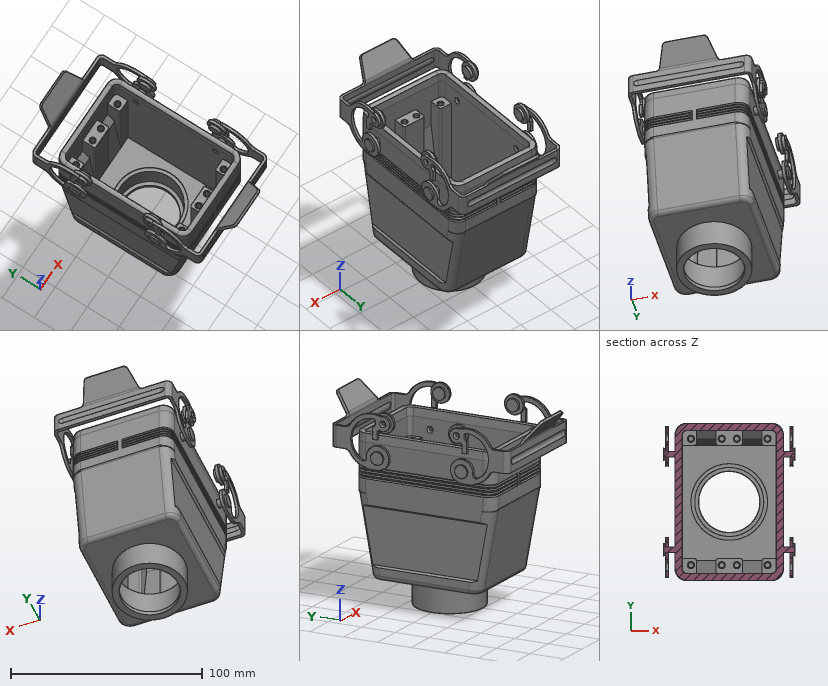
import cadquery as cq
import math

half_x = 28.4
half_y = 41.1
corner_r = 6.3
wall = 3.8
base_z = 15.8
shoulder_z = 63.2
shoulder_step = 0.4
shoulder_height = 0.7
taper_half_y = 32.2
base_fillet_r = 2.7
rim_z = 90.5
rim_edge_z = 95.3
rim_top_z = 95.7
rim_draft = 0.4

groove_count = 4
groove_top_z = 77.2
groove_width = 1.2
groove_pitch = 1.8
groove_depth = 0.7
groove_bridge = 2.5

panel_low_z = 22.8
panel_high_z = 56.2
panel_depth = 1.2
panel_bevel = 1.0

floor_z = 19.6
ledge_low_z = 58.3
ledge_y = 32.9
floor_back_y = 29.5
floor_front_y = 30.6

boss_top_z = 79.6
boss_face_y = 29.6
boss_fillet_r = 1.0
corner_boss_x = 17.2
middle_boss_x = 6.9
screw_x = (3.9, 20.0)
screw_y = 33.0
screw_r = 1.4
screw_mouth_r = 1.8
screw_depth = 9.8

spigot_r = 19.6
spigot_bore_r = 18.0
spigot_lip_r = 16.0
spigot_lip_height = 2.5
floor_recess_r = 20.0
floor_recess_depth = 0.6

sheet = 1.6
lever_half_x = 33.3
bar_y = 52.5
bar_low_z = 86.8
bar_high_z = 98.8
bend_r = 3.1
arm_root_y = 46.7
ring_y = 28.2
ring_r = 15.2
ring_hole_r = 12.6
neck_fillet_r = 3.7
notch_fillet_r = 2.0

pivot_y = 24.9
pivot_z = 84.4
pivot_eye_r = 6.6
pin_r = 2.3
pin_head_r = 3.7
pin_head_height = 1.0

hook_y = 21.9
hook_z = 103.4
hook_r = 4.0
stem_inner_y = 25.3
stem_outer_y = 27.9
stem_low_z = 94.3
stem_shoulder_z = 100.9
stem_neck_y = 26.3
stem_top_z = 104.4
hook_root_drop = 0.5
hook_fillet_r = 0.7
roller_r = 5.5
roller_width = 1.7
roller_hub_r = 3.5
roller_hub_width = 1.6
dimple_r = 1.8
dimple_tip_r = 0.9
dimple_depth = 1.0

tab_tip_y = 61.4
tab_tip_z = 111.1
tab_angle = 50.0
tab_base_half_x = 16.2
tab_tip_half_x = 11.4
tab_fillet_r = 2.5
tab_bend_r = 1.8

bead_half_x = 29.7
bead_half_width = 2.0
bead_depth = 0.9
bead_rise = 0.5

inner_x = half_x - wall
inner_y = half_y - wall
inner_corner_r = corner_r - wall
ring_z = (bar_low_z + bar_high_z) / 2


def rounded_prism(hx, hy, radius, z_low, z_high):
    """Upright prism with a rounded rectangular outline centred on the Z axis."""
    block = cq.Workplane("XY").box(2 * hx, 2 * hy, z_high - z_low, centered=(True, True, False))
    return block.edges("|Z").fillet(radius).translate((0, 0, z_low))


def swept_around(profile):
    """Sweep a closed outline, drawn in Y and Z at the -Y wall, around the housing."""
    block = rounded_prism(half_x, half_y, corner_r, base_z, rim_z)
    return profile.sweep(block.faces("<Z").wires().toPending())


def cylinder_x(radius, x_low, x_high, y, z):
    """Cylinder lying along X."""
    return cq.Workplane("YZ", origin=(x_low, y, z)).circle(radius).extrude(x_high - x_low)


def dimple(x, y, z, direction):
    """Conical dimple sunk along +X or -X from a face at x."""
    cone = cq.Solid.makeCone(
        dimple_r, dimple_tip_r, dimple_depth, pnt=cq.Vector(x, y, z), dir=cq.Vector(direction, 0, 0)
    )
    return cq.Workplane(cone)


def shoulder():
    """Short bevel that draws the end walls in where the taper begins."""
    step_y = half_y - shoulder_step
    outline = [
        (-step_y, shoulder_z - shoulder_height),
        (step_y, shoulder_z - shoulder_height),
        (half_y, shoulder_z),
        (-half_y, shoulder_z),
    ]
    bevel = cq.Workplane("YZ").polyline(outline).close().extrude(half_x, both=True)
    return bevel.intersect(rounded_prism(half_x, half_y, corner_r, base_z, shoulder_z))


def tapered_block():
    """Lower part of the housing with sloping end walls and rounded corners."""
    step_y = half_y - shoulder_step
    top_z = shoulder_z - shoulder_height
    outline = [(-taper_half_y, base_z), (taper_half_y, base_z), (step_y, top_z), (-step_y, top_z)]
    block = cq.Workplane("YZ").polyline(outline).close().extrude(half_x, both=True)
    middle_z = (base_z + top_z) / 2
    corners = cq.selectors.BoxSelector(
        (-half_x - 1.2, -half_y, middle_z - 1.2), (half_x + 1.2, half_y, middle_z + 1.2)
    )
    block = block.edges(corners).fillet(corner_r)
    return block.faces("<Z").edges().fillet(base_fillet_r)


def outer_shell():
    """Straight upper block, shoulder, tapered lower block and spigot."""
    upper = rounded_prism(half_x, half_y, corner_r, shoulder_z, rim_z)
    spigot = cq.Workplane("XY").circle(spigot_r).extrude(floor_z)
    return upper.union(shoulder()).union(tapered_block()).union(spigot)


def rim():
    """Drafted rim with a gently domed top around the mouth."""
    profile = (
        cq.Workplane("YZ")
        .moveTo(-half_y, rim_z)
        .lineTo(-half_y + rim_draft, rim_edge_z)
        .threePointArc((-half_y + wall / 2, rim_top_z), (-inner_y - rim_draft, rim_edge_z))
        .lineTo(-inner_y, rim_z)
        .close()
    )
    return swept_around(profile)


def grip_grooves():
    """V grooves around the grip, interrupted by a web on both end faces."""
    web = cq.Workplane("XY").box(groove_bridge, 2 * half_y, 2 * rim_z)
    grooves = cq.Workplane("XY")
    for index in range(groove_count):
        top = groove_top_z - index * groove_pitch
        outline = [
            (-half_y, top),
            (-half_y + groove_depth, top - groove_width / 2),
            (-half_y, top - groove_width),
        ]
        grooves = grooves.union(swept_around(cq.Workplane("YZ").polyline(outline).close()))
    return grooves.cut(web)


def side_panel(side):
    """Shallow recess with bevelled top and bottom across one broad side."""
    outline = [
        (side * half_x, panel_low_z),
        (side * half_x, panel_high_z),
        (side * (half_x - panel_depth), panel_high_z - panel_bevel),
        (side * (half_x - panel_depth), panel_low_z + panel_bevel),
    ]
    return cq.Workplane("XZ").polyline(outline).close().extrude(half_y, both=True)


def cavity():
    """Inner space: straight above, sloping end walls below, with a ledge on the +Y end."""
    outline = [
        (-inner_y, rim_z),
        (inner_y, rim_z),
        (inner_y, shoulder_z),
        (ledge_y, ledge_low_z),
        (floor_back_y, floor_z),
        (-floor_front_y, floor_z),
        (-inner_y, shoulder_z),
    ]
    space = cq.Workplane("YZ").polyline(outline).close().extrude(inner_x, both=True)
    return space.intersect(rounded_prism(inner_x, inner_y, inner_corner_r, floor_z, rim_z))


def boss_block(x_low, x_high, end):
    """Upright block standing against one end wall, end = +1 or -1 along Y."""
    depth = half_y - boss_face_y
    block = cq.Workplane("XY").box(x_high - x_low, depth, boss_top_z - base_z, centered=False)
    block = block.edges("|Z").fillet(boss_fillet_r)
    y_low = boss_face_y if end > 0 else -half_y
    return block.translate((x_low, y_low, base_z))


def screw_bosses():
    """Corner and middle bosses at both ends, trimmed to the body of the housing."""
    bosses = cq.Workplane("XY")
    for end in (-1, 1):
        bosses = bosses.union(boss_block(-half_x, -corner_boss_x, end))
        bosses = bosses.union(boss_block(-middle_boss_x, middle_boss_x, end))
        bosses = bosses.union(boss_block(corner_boss_x, half_x, end))
    return bosses.intersect(cavity())


def screw_holes():
    """Blind screw holes with a countersunk mouth."""
    mouth_depth = screw_mouth_r - screw_r
    outline = [
        (0, 0),
        (screw_mouth_r, 0),
        (screw_r, -mouth_depth),
        (screw_r, -screw_depth),
        (0, -screw_depth),
    ]
    hole = cq.Workplane("XZ").polyline(outline).close().revolve(360, (0, 0), (0, 1))
    holes = cq.Workplane("XY")
    for x in screw_x:
        for side in (-1, 1):
            for end in (-1, 1):
                holes = holes.union(hole.translate((side * x, end * screw_y, boss_top_z)))
    return holes


def cable_passage():
    """Stepped bore through the floor and the spigot, narrowing to a lip at the free end."""
    lip = cq.Workplane("XY").circle(spigot_lip_r).extrude(spigot_lip_height)
    bore = cq.Workplane("XY", origin=(0, 0, spigot_lip_height)).circle(spigot_bore_r)
    bore = bore.extrude(floor_z - spigot_lip_height)
    recess = cq.Workplane("XY", origin=(0, 0, floor_z - floor_recess_depth))
    recess = recess.circle(floor_recess_r).extrude(floor_recess_depth)
    return lip.union(bore).union(recess)


def pivot_pin(side, end):
    """Headed pin on one broad side that carries a lever."""
    shank = cylinder_x(pin_r, inner_x + wall / 2, lever_half_x, end * pivot_y, pivot_z)
    head = cylinder_x(pin_head_r, lever_half_x, lever_half_x + pin_head_height, end * pivot_y, pivot_z)
    pin = shank.union(head)
    return pin if side > 0 else pin.mirror("YZ")


def make_housing():
    """Complete housing with its bosses, rim, cable passage and pivot pins."""
    body = outer_shell().cut(grip_grooves())
    for side in (-1, 1):
        body = body.cut(side_panel(side))
    body = body.cut(cavity()).union(screw_bosses()).union(rim())
    body = body.cut(screw_holes()).cut(cable_passage())
    for side in (-1, 1):
        for end in (-1, 1):
            body = body.union(pivot_pin(side, end))
            body = body.cut(dimple(side * inner_x, end * pivot_y, pivot_z, side))
    return body.solids()


def circle_point(y, z, radius, degrees):
    """Point on a circle, at an angle measured from +Y towards +Z."""
    angle = math.radians(degrees)
    return (y + radius * math.cos(angle), z + radius * math.sin(angle))


def fillet_corner(body, corner, radius):
    """Round the edge along X of the arm sheet that is closest to a (Y, Z) point."""
    middle = lever_half_x - sheet / 2
    nearest = cq.selectors.NearestToPointSelector((middle, corner[0], corner[1]))
    return body.edges("|X").edges(nearest).fillet(radius)


def arm_sheet():
    """Flat side of the lever: strap, open ring, pivot eye and latch hook in one outline."""
    strap_half = ring_z - bar_low_z
    neck_y = ring_y + math.sqrt(ring_r**2 - strap_half**2)

    span = math.hypot(ring_y - pivot_y, ring_z - pivot_z)
    toward_eye = math.degrees(math.atan2(pivot_z - ring_z, pivot_y - ring_y))
    spread = (ring_hole_r**2 + span**2 - pivot_eye_r**2) / (2 * ring_hole_r * span)
    notch_angle = toward_eye + math.degrees(math.acos(spread))
    notch = circle_point(ring_y, ring_z, ring_hole_r, notch_angle)
    hook_root = (stem_inner_y, hook_z - hook_r - hook_root_drop)

    outline = (
        cq.Workplane("YZ", origin=(lever_half_x - sheet, 0, 0))
        .moveTo(arm_root_y, bar_high_z)
        .lineTo(neck_y, bar_high_z)
        .threePointArc(
            circle_point(ring_y, ring_z, ring_r, 60), circle_point(ring_y, ring_z, ring_r, 105)
        )
        .lineTo(*circle_point(hook_y, hook_z, hook_r, 75))
        .threePointArc(
            circle_point(hook_y, hook_z, hook_r, 180), circle_point(hook_y, hook_z, hook_r, 300)
        )
        .lineTo(*hook_root)
        .lineTo(stem_inner_y, stem_low_z)
        .lineTo(stem_outer_y, stem_low_z)
        .lineTo(stem_outer_y, stem_shoulder_z)
        .lineTo(stem_neck_y, stem_shoulder_z + stem_outer_y - stem_neck_y)
        .lineTo(stem_neck_y, stem_top_z)
        .lineTo(*circle_point(ring_y, ring_z, ring_hole_r, 95))
        .threePointArc(circle_point(ring_y, ring_z, ring_hole_r, 0), notch)
        .threePointArc(
            circle_point(pivot_y, pivot_z, pivot_eye_r, 90),
            circle_point(pivot_y, pivot_z, pivot_eye_r, 270),
        )
        .lineTo(ring_y, pivot_z - pivot_eye_r)
        .threePointArc(circle_point(ring_y, ring_z, ring_r, -60), (neck_y, bar_low_z))
        .lineTo(arm_root_y, bar_low_z)
        .close()
    )
    sheet_body = outline.extrude(sheet)
    sheet_body = fillet_corner(sheet_body, (neck_y, bar_high_z), neck_fillet_r)
    sheet_body = fillet_corner(sheet_body, (neck_y, bar_low_z), neck_fillet_r)
    sheet_body = fillet_corner(sheet_body, notch, notch_fillet_r)
    return fillet_corner(sheet_body, hook_root, hook_fillet_r)


def lever_arm():
    """Arm on the +X side with its roller, roller hub, dimple and pin hole."""
    inner_face = lever_half_x - sheet
    hub_face = inner_face - roller_width
    roller = cylinder_x(roller_r, hub_face, inner_face, hook_y, hook_z)
    hub = cylinder_x(roller_hub_r, hub_face - roller_hub_width, hub_face, hook_y, hook_z)
    arm = arm_sheet().union(roller).union(hub)
    arm = arm.cut(cylinder_x(pin_r, inner_face, lever_half_x, pivot_y, pivot_z))
    return arm.cut(dimple(lever_half_x, hook_y, hook_z, -1))


def lever_bar():
    """Bent bar across the end of the lever."""
    inner_bend_r = bend_r - sheet
    depth = 2 * (bar_y - arm_root_y)
    height = bar_high_z - bar_low_z
    outer = cq.Workplane("XY").box(2 * lever_half_x, depth, height)
    outer = outer.edges("|Z").fillet(bend_r)
    inner = cq.Workplane("XY").box(2 * (lever_half_x - sheet), depth - 2 * sheet, height)
    inner = inner.edges("|Z").fillet(inner_bend_r)
    far_half = cq.Workplane("XY").box(2 * lever_half_x, depth, height)
    far_half = far_half.translate((0, depth / 2, 0))
    return outer.cut(inner).intersect(far_half).translate((0, arm_root_y, ring_z))


def finger_tab():
    """Sheet bent outward from the top edge of the bar, narrowing towards a rounded tip."""
    slope = math.radians(tab_angle)
    rise = math.tan(slope)
    tab_root_z = bar_high_z - sheet
    tip_inner_y = tab_tip_y - sheet * math.sin(slope)
    tip_outer_z = tab_tip_z - sheet * math.cos(slope)
    bar_inner_y = bar_y - sheet
    outer_bend = (bar_y, tip_outer_z - rise * (tab_tip_y - bar_y))
    inner_bend = (bar_inner_y, tab_tip_z - rise * (tip_inner_y - bar_inner_y))
    profile = (
        cq.Workplane("YZ")
        .moveTo(bar_y, tab_root_z)
        .lineTo(*outer_bend)
        .lineTo(tab_tip_y, tip_outer_z)
        .lineTo(tip_inner_y, tab_tip_z)
        .lineTo(*inner_bend)
        .lineTo(bar_inner_y, tab_root_z)
        .close()
    )
    tab = profile.extrude(lever_half_x, both=True)
    for (y, z), radius in ((outer_bend, tab_bend_r), (inner_bend, tab_bend_r + sheet)):
        tab = tab.edges("|X").edges(cq.selectors.NearestToPointSelector((0, y, z))).fillet(radius)
    shoulder_x = tab_base_half_x + 2 * tab_fillet_r
    outline = [
        (-shoulder_x, tab_root_z),
        (-shoulder_x, bar_high_z),
        (-tab_base_half_x, bar_high_z),
        (-tab_tip_half_x, tab_tip_z),
        (tab_tip_half_x, tab_tip_z),
        (tab_base_half_x, bar_high_z),
        (shoulder_x, bar_high_z),
        (shoulder_x, tab_root_z),
    ]
    front = cq.Workplane("XZ").polyline(outline).close().extrude(-tab_tip_y)
    roots = cq.selectors.BoxSelector(
        (-tab_base_half_x - 1.2, 0, bar_high_z - 1.2), (tab_base_half_x + 1.2, tab_tip_y, bar_high_z + 1.2)
    )
    front = front.edges("|Y").edges(roots).fillet(tab_fillet_r)
    tab = tab.intersect(front)
    for side in (-1, 1):
        corner = (side * tab_tip_half_x, (tip_inner_y + tab_tip_y) / 2, (tip_outer_z + tab_tip_z) / 2)
        around = cq.selectors.BoxSelector(
            [place - sheet / 2 for place in corner], [place + sheet / 2 for place in corner]
        )
        tab = tab.edges(around).fillet(tab_fillet_r)
    return tab


def bead_rod(face_y, height):
    """Round-ended rod along X that passes a bar face by the bead height over the bead width."""
    radius = (bead_half_width**2 + height**2) / (2 * height)
    axis_y = face_y - height + radius
    straight_half = bead_half_x - bead_half_width
    rod = cylinder_x(radius, -straight_half, straight_half, axis_y, ring_z)
    for side in (-1, 1):
        ball = cq.Workplane("XY").sphere(radius)
        rod = rod.union(ball.translate((side * straight_half, axis_y, ring_z)))
    return rod


def pressed_bar():
    """Bar with the bead raised on its inner face and grooved into its outer face."""
    bar_inner_y = bar_y - sheet
    trim_y = bar_inner_y + sheet / 2
    trim = cq.Workplane("XY").box(2 * lever_half_x, 2 * trim_y, 2 * tab_tip_z)
    bar = lever_bar().union(bead_rod(bar_inner_y, bead_rise).intersect(trim))
    return bar.cut(bead_rod(bar_y, bead_depth))


def make_lever(end):
    """Lever on the +Y or -Y end of the housing."""
    arm = lever_arm()
    body = pressed_bar().union(arm).union(arm.mirror("YZ")).union(finger_tab()).solids()
    return body if end > 0 else body.rotate((0, 0, 0), (0, 0, 1), 180)


housing = make_housing()
levers = [make_lever(end) for end in (-1, 1)]
result = cq.Compound.makeCompound([housing.val(), *[lever.val() for lever in levers]])